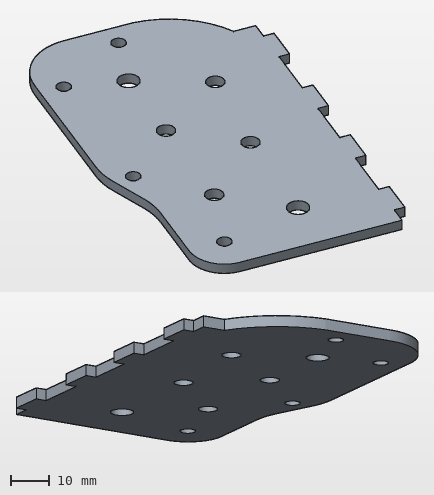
import cadquery as cq
import math

length = 108.01
thickness = 3.0
depth = 66.16
tab_depth = thickness
edge_y = depth - tab_depth

front_left_radius = 15.0
front_right_radius = 10.0
step_height = 7.16
bend_radius = 20.0
bend_start_x = 54.4
bend_angle = math.radians(22)
shoulder_x = 14.01
shoulder_y = 56.9
shoulder_arc_start_y = 34.6
shoulder_radius = 28.3

tab_width = 10.0
tab_offsets = [5.0, 30.0, 54.0, 79.0]

small_hole_diameter = 4.0
small_hole_centers = [(6.6, 27.55), (18.6, 6.7), (62.05, 7.2), (98.0, 17.2)]
medium_hole_diameter = 5.0
medium_hole_centers = [(32.5, 43.55), (60.6, 41.1), (47.0, 23.15), (78.0, 23.15)]
large_hole_diameter = 6.0
large_hole_centers = [(23.0, 23.15), (92.0, 40.75)]


def arc_point(center, radius, angle):
    """Point on a circle at an angle measured counter-clockwise from +X."""
    return (center[0] + radius * math.cos(angle), center[1] + radius * math.sin(angle))


def make_plate():
    """Plate with rounded corners, an S-shaped front edge and a curved shoulder."""
    up = math.pi / 2
    down = -up

    bend_rise = bend_radius * (1 - math.cos(bend_angle))
    bend_run = bend_radius * math.sin(bend_angle)
    ramp_run = (step_height - 2 * bend_rise) / math.tan(bend_angle)
    bend_end_x = bend_start_x + 2 * bend_run + ramp_run
    lower_bend = (bend_start_x, bend_radius)
    upper_bend = (bend_end_x, step_height - bend_radius)

    right_corner = (length - front_right_radius, step_height + front_right_radius)
    left_corner = (front_left_radius, front_left_radius)

    return (
        cq.Workplane("XY")
        .moveTo(front_left_radius, 0)
        .lineTo(bend_start_x, 0)
        .threePointArc(
            arc_point(lower_bend, bend_radius, down + bend_angle / 2),
            arc_point(lower_bend, bend_radius, down + bend_angle),
        )
        .lineTo(*arc_point(upper_bend, bend_radius, up + bend_angle))
        .threePointArc(
            arc_point(upper_bend, bend_radius, up + bend_angle / 2),
            (bend_end_x, step_height),
        )
        .lineTo(right_corner[0], step_height)
        .threePointArc(
            arc_point(right_corner, front_right_radius, -math.pi / 4),
            (length, right_corner[1]),
        )
        .lineTo(length, edge_y)
        .lineTo(shoulder_x, edge_y)
        .lineTo(shoulder_x, shoulder_y)
        .radiusArc((0, shoulder_arc_start_y), -shoulder_radius)
        .lineTo(0, front_left_radius)
        .threePointArc(
            arc_point(left_corner, front_left_radius, -3 * math.pi / 4),
            (front_left_radius, 0),
        )
        .close()
        .extrude(thickness)
    )


def add_tabs(plate):
    """Rectangular tabs standing out from the rear edge."""
    for offset in tab_offsets:
        tab = (
            cq.Workplane("XY")
            .moveTo(shoulder_x + offset, shoulder_y)
            .rect(tab_width, depth - shoulder_y, centered=False)
            .extrude(thickness)
        )
        plate = plate.union(tab)
    return plate


def drill(plate, diameter, centers):
    """Through holes of one diameter."""
    pins = cq.Workplane("XY").pushPoints(centers).circle(diameter / 2).extrude(thickness)
    return plate.cut(pins)


result = add_tabs(make_plate())
result = drill(result, small_hole_diameter, small_hole_centers)
result = drill(result, medium_hole_diameter, medium_hole_centers)
result = drill(result, large_hole_diameter, large_hole_centers)